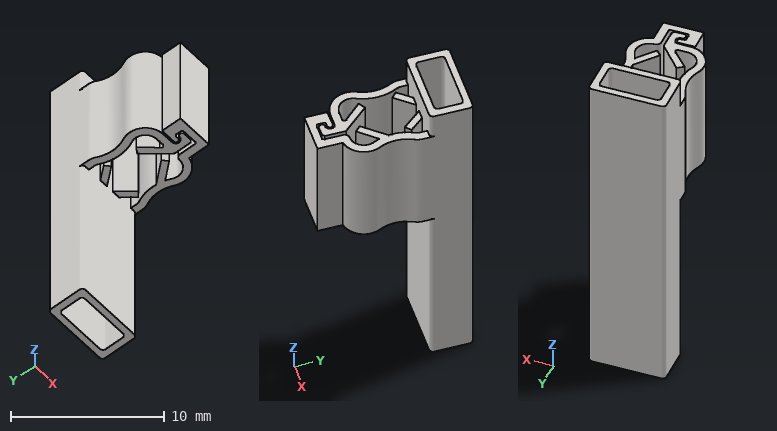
import cadquery as cq
import math

width = 5.4
tube_depth = 3.0
tube_height = 23.0
side_wall = 0.55
face_wall = 0.5
tube_corner = 0.28
bore_corner = 0.25

total_depth = 10.3
clip_bottom = 13.0
clip_height = 8.05
clip_front = tube_depth - total_depth
half_width = width / 2

wall = 0.6
bulge_radius = 1.56
lobe_y = -4.05
shoulder_y = -0.48
neck_y = -2.23
neck_inset = 0.41
lobe_x = half_width - bulge_radius
lobe_bottom = lobe_y - bulge_radius
lobe_floor = lobe_bottom + wall

lobe_to_neck = neck_y - lobe_y
neck_to_shoulder = shoulder_y - neck_y
lobe_distance = (lobe_to_neck**2 + neck_inset**2) / (2 * neck_inset)
shoulder_distance = (neck_to_shoulder**2 + neck_inset**2) / (2 * neck_inset)
neck_radius = lobe_distance - bulge_radius
shoulder_radius = shoulder_distance - neck_radius
shoulder_x = half_width - shoulder_radius
lobe_tangent = math.asin(lobe_to_neck / lobe_distance)
shoulder_tangent = -math.asin(neck_to_shoulder / shoulder_distance)
lobe_end = -math.pi / 2

clearance = 0.12
floor_clearance = 0.1
catch_left = -1.43
catch_right = 1.45
catch_inner_right = 0.8
pocket_left = -0.6
pocket_floor = -6.76
pocket_corner = 0.12
wall_blend = lobe_x - catch_inner_right
nose_x = -0.28
nose_radius = 0.195
nose_y = lobe_bottom - clearance - nose_radius
nose_bottom = nose_y - nose_radius
notch_radius = nose_radius + clearance
tongue_right = 0.53
tongue_top = nose_y - notch_radius
tongue_bottom = pocket_floor + floor_clearance
tongue_radius = (tongue_top - tongue_bottom) / 2
tongue_chamfer = 0.15
tongue_tip = pocket_left + clearance

tube_finger = [(0.28, 0.12), (0.28, 0), (1.35, -1.3), (1.72, -0.97), (0.95, 0), (0.95, 0.12)]
wall_finger = [(0.4, -4.1), (0.75, -4.46), (2.07, -2.92), (1.85, -2.37)]
latch_finger_root = (tongue_right, -5.05)
latch_finger_tip = [(-1.05, -3.27), (-1.52, -3.56)]
latch_crotch = (-0.45, -4.72)
latch_crotch_middle = (-0.37, -4.9)
latch_crotch_end = -0.55

arc_middle = 1 - math.sqrt(0.5)


def extrude_clip(profile):
    return profile.close().extrude(clip_height)


def clip_sketch():
    return cq.Workplane("XY").workplane(offset=clip_bottom)


def polygon(points):
    return extrude_clip(clip_sketch().polyline(points))


def lobe_point(inset, angle):
    radius = bulge_radius - inset
    return (lobe_x + radius * math.cos(angle), lobe_y + radius * math.sin(angle))


def shoulder_point(inset, angle):
    radius = shoulder_radius - inset
    return (shoulder_x + radius * math.cos(angle), shoulder_y + radius * math.sin(angle))


def make_right_wall():
    """Wavy wall from the tube down to the lowest point of its lobe."""
    inner_x = half_width - wall
    lobe_middle = (lobe_tangent + lobe_end) / 2
    shoulder_middle = shoulder_tangent / 2
    return extrude_clip(
        clip_sketch()
        .moveTo(half_width, tube_corner)
        .lineTo(half_width, shoulder_y)
        .threePointArc(shoulder_point(0, shoulder_middle), shoulder_point(0, shoulder_tangent))
        .threePointArc((half_width - neck_inset, neck_y), lobe_point(0, lobe_tangent))
        .threePointArc(lobe_point(0, lobe_middle), lobe_point(0, lobe_end))
        .lineTo(*lobe_point(wall, lobe_end))
        .threePointArc(lobe_point(wall, lobe_middle), lobe_point(wall, lobe_tangent))
        .threePointArc((inner_x - neck_inset, neck_y), shoulder_point(wall, shoulder_tangent))
        .threePointArc(shoulder_point(wall, shoulder_middle), (inner_x, shoulder_y))
        .lineTo(inner_x, tube_corner)
    )


def make_tube():
    outer = (
        cq.Workplane("XY")
        .center(0, tube_depth / 2)
        .rect(width, tube_depth)
        .extrude(tube_height)
        .edges("|Z")
        .fillet(tube_corner)
    )
    bore = (
        cq.Workplane("XY")
        .center(0, tube_depth / 2)
        .rect(width - 2 * side_wall, tube_depth - 2 * face_wall)
        .extrude(tube_height)
        .edges("|Z")
        .fillet(bore_corner)
    )
    return outer.cut(bore)


def make_catch():
    """Hooked channel with a rounded nose that holds the tongue."""
    lobe_meeting_y = lobe_y - math.sqrt(bulge_radius**2 - (catch_right - lobe_x) ** 2)
    blend_y = lobe_floor - wall_blend
    blend_offset = wall_blend * arc_middle
    pocket_offset = pocket_corner * arc_middle
    return extrude_clip(
        clip_sketch()
        .moveTo(catch_left, clip_front)
        .lineTo(catch_right, clip_front)
        .lineTo(catch_right, lobe_meeting_y)
        .lineTo(lobe_x, lobe_floor)
        .threePointArc(
            (catch_inner_right + blend_offset, lobe_floor - blend_offset),
            (catch_inner_right, blend_y),
        )
        .lineTo(catch_inner_right, pocket_floor + pocket_corner)
        .threePointArc(
            (catch_inner_right - pocket_offset, pocket_floor + pocket_offset),
            (catch_inner_right - pocket_corner, pocket_floor),
        )
        .lineTo(pocket_left + pocket_corner, pocket_floor)
        .threePointArc(
            (pocket_left + pocket_offset, pocket_floor + pocket_offset),
            (pocket_left, pocket_floor + pocket_corner),
        )
        .lineTo(pocket_left, nose_bottom - pocket_corner)
        .threePointArc(
            (pocket_left + pocket_offset, nose_bottom - pocket_offset),
            (pocket_left + pocket_corner, nose_bottom),
        )
        .lineTo(nose_x, nose_bottom)
        .threePointArc((nose_x + nose_radius, nose_y), (nose_x, nose_y + nose_radius))
        .lineTo(catch_left, nose_y + nose_radius)
    )


def make_latch():
    """Tongue, notch around the nose, and release finger on the left wall."""
    tongue_end_x = tongue_tip + tongue_radius
    return extrude_clip(
        clip_sketch()
        .moveTo(-lobe_x, lobe_bottom)
        .lineTo(nose_x, lobe_bottom)
        .threePointArc((nose_x + notch_radius, nose_y), (nose_x, tongue_top))
        .lineTo(tongue_end_x, tongue_top)
        .threePointArc(
            (tongue_tip, tongue_top - tongue_radius), (tongue_end_x, tongue_bottom)
        )
        .lineTo(tongue_right - tongue_chamfer, tongue_bottom)
        .lineTo(tongue_right, tongue_bottom + tongue_chamfer)
        .lineTo(*latch_finger_root)
        .lineTo(*latch_finger_tip[0])
        .lineTo(*latch_finger_tip[1])
        .lineTo(*latch_crotch)
        .threePointArc(latch_crotch_middle, (latch_crotch_end, lobe_floor))
        .lineTo(-lobe_x, lobe_floor)
    )


right_wall = make_right_wall()
left_finger = polygon([(-x, y) for x, y in tube_finger])

result = (
    make_tube()
    .union(right_wall)
    .union(right_wall.mirror("YZ"))
    .union(make_catch())
    .union(make_latch())
    .union(polygon(tube_finger))
    .union(left_finger)
    .union(polygon(wall_finger))
)